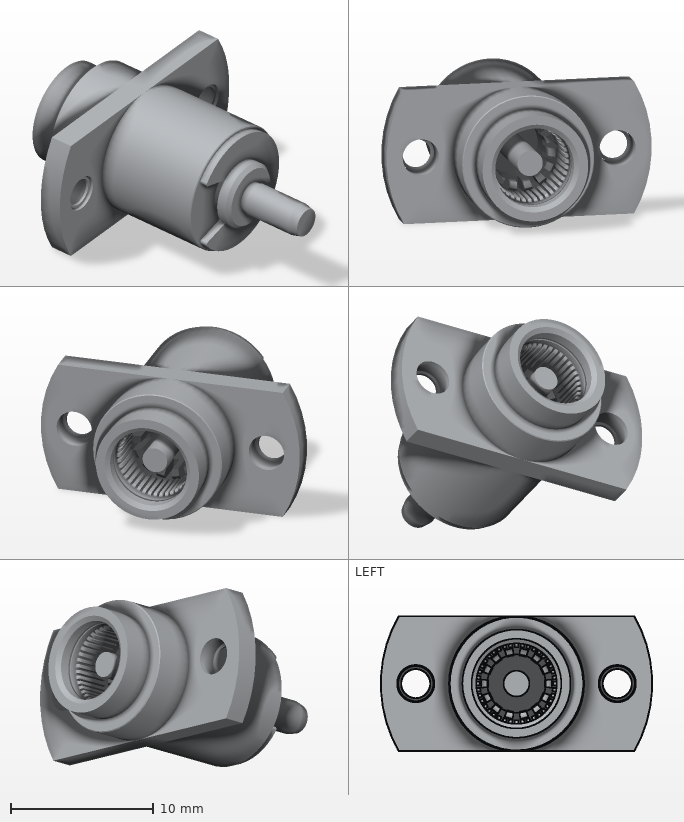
import cadquery as cq
import math


total_length = 21.6
barrel_front = 2.3
barrel_rear = 14.97
flange_front = 5.34
flange_thickness = 1.7
ring_rear = 15.55
hub_rear = 16.6
neck_rear = 17.06
tip_start = 20.89

nose_radius = 3.8
barrel_radius = 4.75
barrel_chamfer = 0.06
core_radius = 2.07
hub_radius = 2.46
hub_chamfer_length = 0.32
hub_chamfer_depth = 0.25
neck_radius = 1.15
pin_radius = 1.2
tip_radius = 1.04

mouth_radius = 3.15
socket_radius = 2.83
mouth_chamfer_length = 0.25
groove_front = 1.02
groove_width = 0.24
groove_depth = 0.1
rear_bore_radius = 2.05
bore_floor = 8.65

finger_count = 14
finger_tip = 4.75
finger_tip_radius = 2.48
lead_in_length = 0.25
finger_throat_radius = 1.99
outer_bevel_length = socket_radius - finger_tip_radius
slot_angle = 12.2
slot_floor = 6.91

rib_count = 40
rib_height = 0.25
rib_front = 1.75
rib_rear = 4.54
rib_angle = 5.2
wall_overlap = 0.06

contact_radius = 0.9
contact_front = 1.73

ring_radius = 4.51
gap_inner_half_width = 1.75
gap_outer_half_width = 2.7
gap_corner_radius = 0.2

flange_end_radius = 9.55
flange_half_height = barrel_radius
hole_offset = 7.08
hole_radius = 1.3

bushing_clearance = 0.05
bushing_radius = hole_radius - bushing_clearance
bushing_bore_radius = 1.02
bushing_recess = 1.3
bushing_front = flange_front + bushing_recess
bushing_length = 0.2


def revolve_about_x(profile, angle=360):
    """Revolve a closed list of (x, radius) points about the X axis."""
    return cq.Workplane("XY").polyline(profile).close().revolve(angle, (0, 0, 0), (1, 0, 0))


def x_cylinder(start, end, radius, y=0):
    """Solid cylinder parallel to X."""
    return cq.Workplane("YZ", origin=(start, y, 0)).circle(radius).extrude(end - start)


def copies_about_x(tool, count):
    """Compound of evenly spaced copies of a solid around the X axis."""
    step = 360 / count
    turned = [tool.rotate((0, 0, 0), (1, 0, 0), i * step).val() for i in range(count)]
    return cq.Workplane(cq.Compound.makeCompound(turned))


def make_outside():
    """Stepped outside of the connector, from the mating nose to the tip of the pin."""
    return revolve_about_x([
        (0, 0),
        (0, nose_radius),
        (barrel_front, nose_radius),
        (barrel_front, barrel_radius - barrel_chamfer),
        (barrel_front + barrel_chamfer, barrel_radius),
        (barrel_rear - barrel_chamfer, barrel_radius),
        (barrel_rear, barrel_radius - barrel_chamfer),
        (barrel_rear, core_radius),
        (ring_rear, core_radius),
        (ring_rear, hub_radius),
        (hub_rear - hub_chamfer_length, hub_radius),
        (hub_rear, hub_radius - hub_chamfer_depth),
        (hub_rear, neck_radius),
        (neck_rear, neck_radius),
        (neck_rear, pin_radius),
        (tip_start, pin_radius),
        (total_length, tip_radius),
        (total_length, 0),
    ])


def make_flange():
    """Flat-sided plate with round ends and two mounting holes."""
    flange_rear = flange_front + flange_thickness
    plate = x_cylinder(flange_front, flange_rear, flange_end_radius)
    band = cq.Workplane("XY").box(
        2 * flange_rear, 2 * flange_end_radius, 2 * flange_half_height
    )
    plate = plate.intersect(band)
    for side in (-1, 1):
        plate = plate.cut(x_cylinder(flange_front, flange_rear, hole_radius, side * hole_offset))
    return plate


def make_bore():
    """Void of the mating socket, down to the floor behind the contact fingers."""
    groove_rear = groove_front + groove_width
    groove_radius = socket_radius + groove_depth
    return revolve_about_x([
        (0, 0),
        (0, mouth_radius),
        (mouth_chamfer_length, socket_radius),
        (groove_front, socket_radius),
        (groove_front, groove_radius),
        (groove_rear, groove_radius),
        (groove_rear, socket_radius),
        (finger_tip + outer_bevel_length, socket_radius),
        (finger_tip, finger_tip_radius),
        (finger_tip + lead_in_length, rear_bore_radius),
        (slot_floor, finger_throat_radius),
        (slot_floor, rear_bore_radius),
        (bore_floor, rear_bore_radius),
        (bore_floor, 0),
    ])


def make_finger_slots():
    """Wedge-shaped slots that split the wall of the bore into contact fingers."""
    slot = revolve_about_x([
        (finger_tip, 0),
        (finger_tip, socket_radius),
        (slot_floor, socket_radius),
        (slot_floor, 0),
    ], slot_angle)
    slot = slot.rotate((0, 0, 0), (1, 0, 0), 90 - slot_angle / 2)
    return copies_about_x(slot, finger_count)


def make_spring_ribs():
    """Round-nosed ribs that run along the socket wall."""
    root_radius = socket_radius + wall_overlap
    crest_radius = socket_radius - rib_height
    nose_x = rib_front + rib_height * (1 - math.sqrt(0.5))
    nose_r = crest_radius + rib_height * (1 - math.sqrt(0.5))
    rib = (
        cq.Workplane("XY")
        .moveTo(rib_front, root_radius)
        .lineTo(rib_front, socket_radius)
        .threePointArc((nose_x, nose_r), (rib_front + rib_height, crest_radius))
        .lineTo(rib_rear, crest_radius)
        .lineTo(rib_rear, root_radius)
        .close()
        .revolve(rib_angle, (0, 0, 0), (1, 0, 0))
        .rotate((0, 0, 0), (1, 0, 0), -rib_angle / 2)
    )
    return copies_about_x(rib, rib_count)


def make_retaining_ring():
    """Open ring whose gap widens outwards, with rounded outer corners at the gap."""
    disc = x_cylinder(barrel_rear, ring_rear, ring_radius)
    gap_inner_y = -math.sqrt(core_radius**2 - gap_inner_half_width**2)
    gap_outer_y = -ring_radius
    gap = (
        cq.Workplane("YZ", origin=(barrel_rear, 0, 0))
        .polyline([
            (gap_inner_y, -gap_inner_half_width),
            (gap_outer_y, -gap_outer_half_width),
            (gap_outer_y, gap_outer_half_width),
            (gap_inner_y, gap_inner_half_width),
        ])
        .close()
        .extrude(ring_rear - barrel_rear)
    )
    inner = x_cylinder(barrel_rear, ring_rear, core_radius)
    ring = disc.cut(gap).cut(inner)
    corner_box = cq.selectors.BoxSelector(
        (barrel_rear, -ring_radius, -ring_radius), (ring_rear, -core_radius, ring_radius)
    )
    return ring.edges("|X").edges(corner_box).fillet(gap_corner_radius)


def make_connector():
    """Connector shell with its flange, contacts, retaining ring and pin."""
    connector = make_outside().union(make_flange())
    connector = connector.cut(make_bore()).cut(make_finger_slots())
    connector = connector.union(make_spring_ribs())
    connector = connector.union(x_cylinder(contact_front, bore_floor, contact_radius))
    return connector.union(make_retaining_ring())


def make_bushing(y):
    """Short bushing inside a mounting hole."""
    rear = bushing_front + bushing_length
    body = x_cylinder(bushing_front, rear, bushing_radius, y)
    return body.cut(x_cylinder(bushing_front, rear, bushing_bore_radius, y))


connector = make_connector()
bushings = [make_bushing(side * hole_offset) for side in (-1, 1)]

result = cq.Compound.makeCompound([connector.val(), *[bushing.val() for bushing in bushings]])